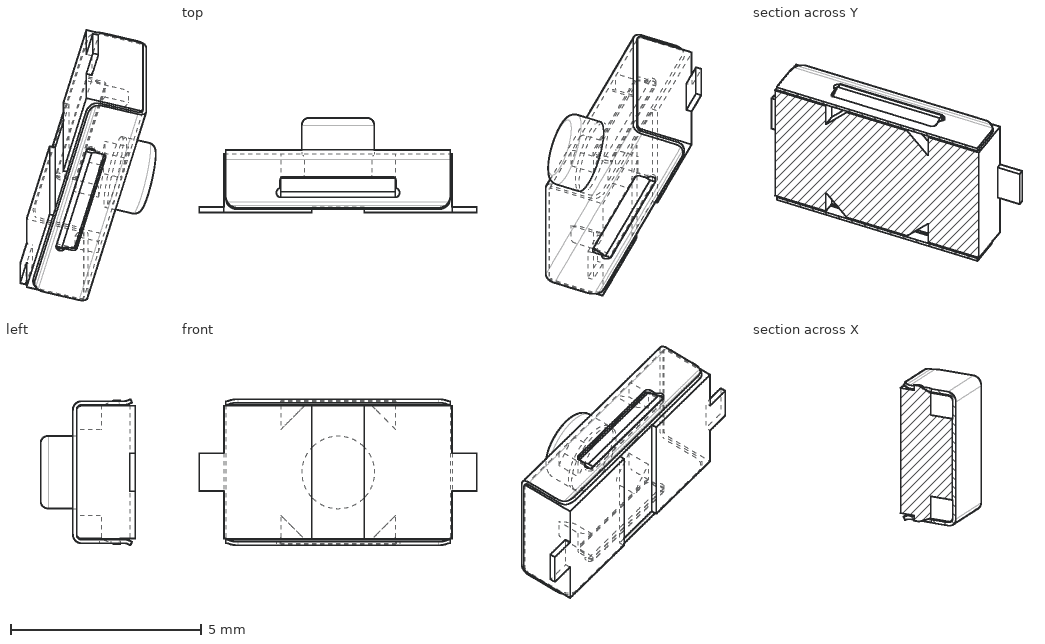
import cadquery as cq
import math

BUTTON_TOP = 2.5
COVER_TOP = 1.65
SHEET = 0.1
BODY_TOP = COVER_TOP - SHEET

BODY_LENGTH = 6.0
BODY_DEPTH = 3.5
BODY_TOP_FILLET = 0.12
BUTTON_DIAMETER = 1.91
BUTTON_FILLET = 0.2
TERMINAL_SPAN = 7.3
TERMINAL_THICKNESS = 0.15
TERMINAL_WIDTH = 1.0
CHANNEL_WIDTH = 1.38
CHANNEL_DEPTH = TERMINAL_THICKNESS

TOOTH_LENGTH = 3.01
TOOTH_BOTTOM = 0.4
TOOTH_CREST_TOP = 0.555
TOOTH_TOP = 0.905
TOOTH_REACH = 0.145
POCKET_START = 0.89

COVER_LENGTH = 5.905
OVERALL_DEPTH = 3.85
SIDE_GAP = 0.02
LIP_START = 0.285
LIP_RADIUS = 0.2
LIP_ANGLE = math.radians(25)
LIP_CORNER_RADIUS = 0.315

WINDOW_LENGTH = 3.05
WINDOW_TOP = 0.95
WINDOW_CORNER_RADIUS = 0.1
RELIEF_SPAN = 3.24
RELIEF_HEIGHT = 0.25

WALL_OUTER = BODY_DEPTH / 2 + SIDE_GAP + SHEET
COVER_BEND_RADIUS = BODY_TOP_FILLET + SIDE_GAP + SHEET
LIP_BEND_RISE = LIP_RADIUS * (1 - math.cos(LIP_ANGLE))
LIP_STRAIGHT = (OVERALL_DEPTH / 2 - WALL_OUTER - LIP_BEND_RISE) / math.sin(LIP_ANGLE)


def box(length, y_low, y_high, depth):
    """Box centred on X and Z, standing between two heights."""
    return cq.Workplane("XY").box(length, y_high - y_low, depth).translate((0, (y_low + y_high) / 2, 0))


def make_button():
    button = (
        cq.Workplane("XZ")
        .circle(BUTTON_DIAMETER / 2)
        .extrude(-BUTTON_TOP)
        .faces(">Y")
        .edges()
        .fillet(BUTTON_FILLET)
    )
    return button.intersect(box(BODY_LENGTH, BODY_TOP / 2, BUTTON_TOP, BODY_DEPTH))


def make_tooth():
    """Wedge on the +Z side: flat crest at the bottom, sloping back to the side at the top."""
    side = BODY_DEPTH / 2
    crest = side + TOOTH_REACH
    return (
        cq.Workplane("YZ")
        .moveTo(TOOTH_BOTTOM, side)
        .lineTo(TOOTH_BOTTOM, crest)
        .lineTo(TOOTH_CREST_TOP, crest)
        .lineTo(TOOTH_TOP, side)
        .close()
        .extrude(TOOTH_LENGTH / 2, both=True)
    )


def make_relief_pocket():
    """45 degree pocket in the +Z, +X side above the tooth, open at the top of the housing."""
    side = BODY_DEPTH / 2
    end = TOOTH_LENGTH / 2
    return (
        cq.Workplane("XZ", origin=(0, TOOTH_TOP, 0))
        .moveTo(POCKET_START, side)
        .lineTo(end, side)
        .lineTo(end, side - (end - POCKET_START))
        .close()
        .extrude(-(BODY_TOP - TOOTH_TOP))
    )


def make_housing():
    housing = box(BODY_LENGTH, 0, BODY_TOP, BODY_DEPTH)
    housing = housing.faces(">Y").edges("|X").fillet(BODY_TOP_FILLET)
    tooth = make_tooth()
    pocket = make_relief_pocket()
    pockets = pocket.union(pocket.mirror("YZ"))
    housing = housing.union(tooth).union(tooth.mirror("XY"))
    housing = housing.cut(pockets).cut(pockets.mirror("XY"))
    housing = housing.cut(box(CHANNEL_WIDTH, 0, CHANNEL_DEPTH, BODY_DEPTH))
    terminals = box(TERMINAL_SPAN, 0, TERMINAL_THICKNESS, TERMINAL_WIDTH)
    terminals = terminals.cut(box(BODY_LENGTH, 0, TERMINAL_THICKNESS, TERMINAL_WIDTH))
    return housing.union(terminals).union(make_button())


def lip_point(radius, angle, advance=0):
    """(Y, Z) on the +Z flare at a radius and bend angle, then straight on by `advance`."""
    return (
        LIP_START - radius * math.sin(angle) - advance * math.cos(angle),
        WALL_OUTER + LIP_RADIUS - radius * math.cos(angle) + advance * math.sin(angle),
    )


def make_half_shell():
    """+Z half of the bent sheet, constant along X."""
    bend_end = COVER_TOP - COVER_BEND_RADIUS
    bend_centre = WALL_OUTER - COVER_BEND_RADIUS

    def bend_point(radius):
        return (
            bend_end + radius * math.sin(math.pi / 4),
            bend_centre + radius * math.cos(math.pi / 4),
        )

    lip_back_radius = LIP_RADIUS + SHEET
    return (
        cq.Workplane("YZ")
        .moveTo(COVER_TOP, 0)
        .lineTo(COVER_TOP, bend_centre)
        .threePointArc(bend_point(COVER_BEND_RADIUS), (bend_end, WALL_OUTER))
        .lineTo(LIP_START, WALL_OUTER)
        .threePointArc(lip_point(LIP_RADIUS, LIP_ANGLE / 2), lip_point(LIP_RADIUS, LIP_ANGLE))
        .lineTo(*lip_point(LIP_RADIUS, LIP_ANGLE, LIP_STRAIGHT))
        .lineTo(*lip_point(lip_back_radius, LIP_ANGLE, LIP_STRAIGHT))
        .lineTo(*lip_point(lip_back_radius, LIP_ANGLE))
        .threePointArc(lip_point(lip_back_radius, LIP_ANGLE / 2), (LIP_START, WALL_OUTER - SHEET))
        .lineTo(bend_end, WALL_OUTER - SHEET)
        .threePointArc(bend_point(COVER_BEND_RADIUS - SHEET), (COVER_TOP - SHEET, bend_centre))
        .lineTo(COVER_TOP - SHEET, 0)
        .close()
        .extrude(COVER_LENGTH / 2, both=True)
    )


def make_windows():
    """Cutter for both side windows: a rectangle with a wider rounded slot along its bottom."""
    opening = box(WINDOW_LENGTH, TOOTH_BOTTOM, WINDOW_TOP, OVERALL_DEPTH)
    opening = opening.edges("|Z and >Y").fillet(WINDOW_CORNER_RADIUS)
    relief = (
        cq.Workplane("XY")
        .center(0, TOOTH_BOTTOM + RELIEF_HEIGHT / 2)
        .slot2D(RELIEF_SPAN, RELIEF_HEIGHT)
        .extrude(OVERALL_DEPTH / 2, both=True)
    )
    return opening.union(relief)


def make_lip_corner():
    """Cutter that rounds the +X end of the +Z lip, square to the plane of the lip."""
    end = COVER_LENGTH / 2
    start = end - LIP_CORNER_RADIUS
    arc_reach = LIP_CORNER_RADIUS * math.sin(math.pi / 4)
    tip_y, tip_z = lip_point(LIP_RADIUS, LIP_ANGLE, LIP_STRAIGHT)
    lip_plane = cq.Plane(
        origin=(0, tip_y, tip_z),
        xDir=(1, 0, 0),
        normal=(0, math.sin(LIP_ANGLE), math.cos(LIP_ANGLE)),
    )
    return (
        cq.Workplane(lip_plane)
        .moveTo(start, 0)
        .threePointArc(
            (start + arc_reach, LIP_CORNER_RADIUS - arc_reach),
            (end, LIP_CORNER_RADIUS),
        )
        .lineTo(end, 0)
        .close()
        .extrude(2 * SHEET, both=True)
    )


def make_cover():
    half = make_half_shell()
    corner = make_lip_corner()
    half = half.cut(corner).cut(corner.mirror("YZ"))
    cover = half.union(half.mirror("XY"))
    button_hole = cq.Workplane("XZ").circle(BUTTON_DIAMETER / 2).extrude(-COVER_TOP)
    return cover.cut(make_windows()).cut(button_hole)


housing = make_housing()
cover = make_cover()
result = cq.Compound.makeCompound([housing.val(), cover.val()])